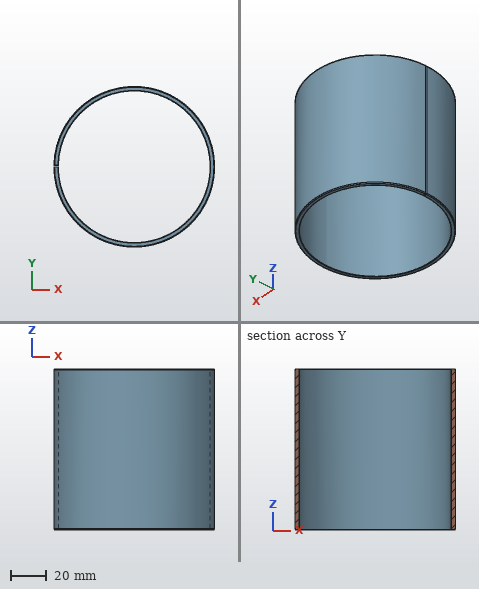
import cadquery as cq

outer_diameter = 90.0
length = 90.0
wall = 2.5
slit_width = 0.8
outer_chamfer_height = 0.6
outer_chamfer_depth = 0.45
inner_chamfer = 0.3

outer_radius = outer_diameter / 2
inner_radius = outer_radius - wall


def sleeve():
    """Wall section, chamfered at all four corners, revolved about Z."""
    bottom = -length / 2
    top = length / 2
    section = [
        (inner_radius + inner_chamfer, bottom),
        (outer_radius - outer_chamfer_depth, bottom),
        (outer_radius, bottom + outer_chamfer_height),
        (outer_radius, top - outer_chamfer_height),
        (outer_radius - outer_chamfer_depth, top),
        (inner_radius + inner_chamfer, top),
        (inner_radius, top - inner_chamfer),
        (inner_radius, bottom + inner_chamfer),
    ]
    return cq.Workplane("XZ").polyline(section).close().revolve(360, (0, 0), (0, 1))


def slit():
    """Full-length cut through the wall on the -X side, with one face on the plane Y = 0."""
    cutter = cq.Workplane("XY").box(outer_radius, slit_width, length)
    return cutter.translate((-outer_radius, slit_width / 2, 0))


result = sleeve().cut(slit())